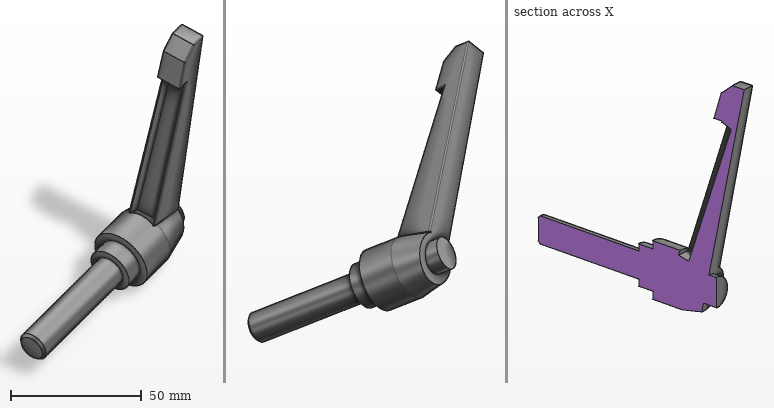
import cadquery as cq
import math

overall_length = 102.9
overall_height = 102.5
hub_diameter = 25.0
hub_radius = hub_diameter / 2
hub_straight_length = 14.8
hub_cone_angle = 12.0
collar_radius = 9.1
collar_length = 7.0
stud_radius = 6.1
stud_tip_y = -57.1
stud_chamfer = 1.0
button_radius = 6.5
button_end_y = 31.9

lever_tip_y = overall_length + stud_tip_y
lever_top_z = overall_height - hub_radius
back_foot_y = 28.5
back_foot_z = 8.0
back_slope = (lever_tip_y - back_foot_y) / (lever_top_z - back_foot_z)

front_foot_y = 13.4
notch_y = 34.6
notch_z = 73.3
hook_point_y = 30.5
hook_shoulder = (34.1, 85.0)
hook_top_y = 39.8
foot_width = 12.6
tip_width = 10.5
edge_round = 0.5

pocket_depth = 4.9
pocket_wall = 0.8
floor_below_foot = 1.0
pocket_top_gap = 0.5

front_foot_z = back_foot_z + back_slope * (back_foot_y - front_foot_y)
side_draft = (foot_width - tip_width) / 2 / (lever_top_z - front_foot_z)


def back_y(z):
    """Y of the leaning back plane at height z."""
    return back_foot_y + back_slope * (z - back_foot_z)


def cylinder(radius, start_y, end_y):
    """Cylinder along the stud axis."""
    return cq.Workplane("XZ", origin=(0, end_y, 0)).circle(radius).extrude(end_y - start_y)


def side_prism(points):
    """Solid with the given (y, z) outline, wide enough to span the part."""
    return cq.Workplane("YZ").polyline(points).close().extrude(2 * hub_radius, both=True)


def tapered_block(inset):
    """Block narrowing upward at the draft of the lever sides, set in by inset."""
    low_z = -hub_radius
    half_low = foot_width / 2 + side_draft * (front_foot_z - low_z) - inset
    half_high = tip_width / 2 - inset
    outline = [(-half_low, low_z), (half_low, low_z), (half_high, lever_top_z), (-half_high, lever_top_z)]
    return cq.Workplane("XZ").polyline(outline).close().extrude(overall_length, both=True)


def make_hub():
    cone_end_y = back_y(hub_radius)
    end_radius = hub_radius - (cone_end_y - hub_straight_length) * math.tan(math.radians(hub_cone_angle))
    outline = [
        (0, 0),
        (hub_radius, 0),
        (hub_radius, hub_straight_length),
        (end_radius, cone_end_y),
        (0, cone_end_y),
    ]
    body = cq.Workplane("XY").polyline(outline).close().revolve(360, (0, 0), (0, 1))
    low_z = -2 * hub_radius
    high_z = 2 * hub_radius
    behind_y = 2 * button_end_y
    behind = [(back_y(low_z), low_z), (behind_y, low_z), (behind_y, high_z), (back_y(high_z), high_z)]
    return body.cut(side_prism(behind))


def make_pocket():
    """Channel in the lever front, cut down into the hub to a floor parallel to the foot."""
    run_y = notch_y - front_foot_y
    run_z = notch_z - front_foot_z
    length = math.hypot(run_y, run_z)
    along_y = run_y / length
    along_z = run_z / length
    top_y = notch_y - pocket_top_gap * along_y
    top_z = notch_z - pocket_top_gap * along_z

    def place(distance_down, depth):
        return (
            top_y - distance_down * along_y + depth * along_z,
            top_z - distance_down * along_z - depth * along_y,
        )

    reach = length + 2 * floor_below_foot
    outline = [place(0, 0), place(0, pocket_depth), place(reach, pocket_depth), place(reach, 0)]
    channel = side_prism(outline).intersect(tapered_block(pocket_wall))

    floor_start_z = front_foot_z - floor_below_foot + back_slope * front_foot_y
    floor_end_z = floor_start_z - back_slope * button_end_y
    below_floor = [(0, 0), (button_end_y, 0), (button_end_y, floor_end_z), (0, floor_start_z)]
    return channel.cut(side_prism(below_floor))


def make_lever():
    outline = [
        (back_foot_y, back_foot_z),
        (lever_tip_y, lever_top_z),
        (hook_top_y, lever_top_z),
        hook_shoulder,
        (hook_point_y, notch_z),
        (notch_y, notch_z),
        (front_foot_y, front_foot_z),
    ]
    blank = side_prism(outline).intersect(tapered_block(0))
    foot_edges = cq.selectors.BoxSelector(
        (-foot_width, 0, 0), (foot_width, back_foot_y, front_foot_z + edge_round)
    )
    side_edges = blank.faces("<X or >X").edges()
    return side_edges.edges(cq.selectors.InverseSelector(foot_edges)).fillet(edge_round)


stud = cylinder(stud_radius, stud_tip_y, 0).faces("<Y").chamfer(stud_chamfer)
collar = cylinder(collar_radius, -collar_length, 0)
button = cylinder(button_radius, 0, button_end_y)

body = make_hub().union(collar).union(stud).union(button).union(make_lever())
result = body.cut(make_pocket())